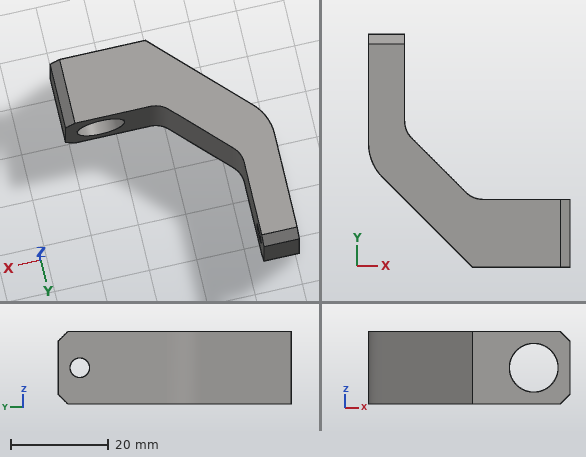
import cadquery as cq
import math

length_x = 41.5
length_y = 48.0
height = 15.0

arm_thickness = 7.5
foot_thickness = 14.0
web_thickness = 10.0
web_start_x = 21.4
outer_bend_radius = 10.0
inner_bend_radius = 5.0

end_chamfer = 2.0
foot_hole_diameter = 10.0
foot_hole_inset = 7.5
arm_hole_diameter = 4.0
arm_hole_inset = 4.45

outer_web_sum = web_start_x
inner_web_sum = outer_web_sum + web_thickness * math.sqrt(2)

outer_bend = (0, outer_web_sum)
inner_arm_bend = (arm_thickness, inner_web_sum - arm_thickness)
inner_foot_bend = (inner_web_sum - foot_thickness, foot_thickness)


def round_vertical_edge(body, corner, radius):
    """Fillet the vertical edge nearest to the given XY corner."""
    edge = cq.selectors.NearestToPointSelector((*corner, height / 2))
    return body.edges("|Z").edges(edge).fillet(radius)


bracket = (
    cq.Workplane("XY")
    .polyline([
        (web_start_x, 0),
        (length_x, 0),
        (length_x, foot_thickness),
        inner_foot_bend,
        inner_arm_bend,
        (arm_thickness, length_y),
        (0, length_y),
        outer_bend,
    ])
    .close()
    .extrude(height)
)
bracket = round_vertical_edge(bracket, outer_bend, outer_bend_radius)
for bend in (inner_arm_bend, inner_foot_bend):
    bracket = round_vertical_edge(bracket, bend, inner_bend_radius)

bracket = bracket.faces(">X").edges("|Y").chamfer(end_chamfer)
bracket = bracket.faces(">Y").edges("|X").chamfer(end_chamfer)

foot_hole = (
    cq.Workplane("XZ")
    .center(length_x - foot_hole_inset, height / 2)
    .circle(foot_hole_diameter / 2)
    .extrude(-foot_thickness)
)

arm_hole = (
    cq.Workplane("YZ")
    .center(length_y - arm_hole_inset, height / 2)
    .circle(arm_hole_diameter / 2)
    .extrude(arm_thickness)
)

result = bracket.cut(foot_hole).cut(arm_hole)